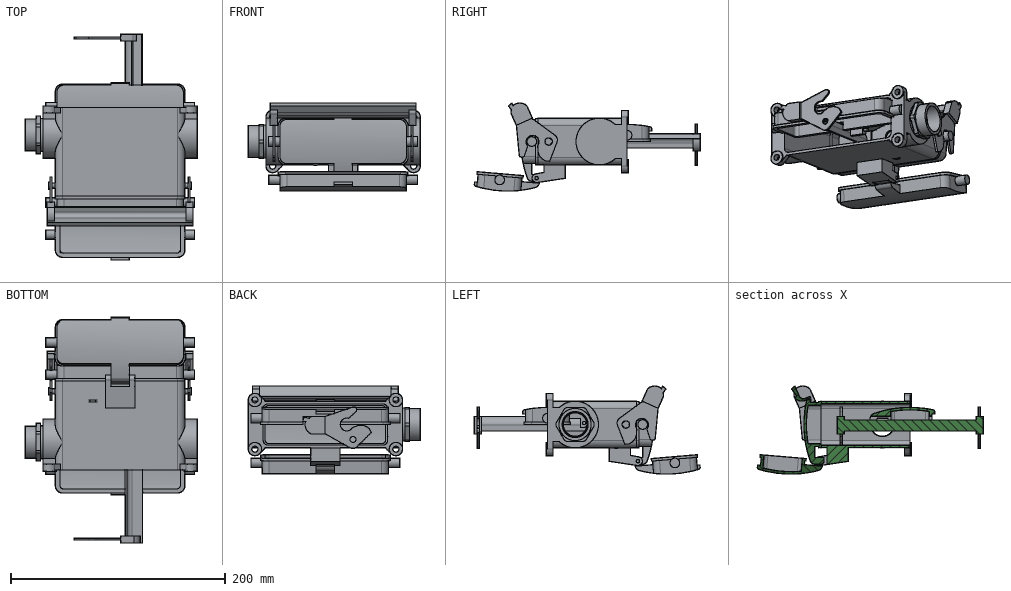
import cadquery as cq
import math


body_width = 121.0
body_height = 43.5
body_front = -57.0
body_rear = 25.8
body_corner = 7.0
wall = 2.5

port_diameter = body_height
port_half_span = 72.0
port_inner_end = body_width / 2 - body_corner
port_rib_half_height = 15.7
port_bore = 22.4

flange_front = 20.5
ear_radius = 6.25
ear_hole = 5.5
ear_pad = 1.3
ear_x = port_half_span - ear_radius
ear_z = 22.9

bracket_half_width = 13.75
bracket_rear = -31.8
bracket_step = -51.8
bracket_foot_z = -34.4
bracket_step_z = -28.7
bracket_eye_radius = 4.2
bracket_lean = 8.5

hinge_y = -58.55
hinge_z = -34.2
hinge_hole = 3.2
hinge_pin = 3.0
hinge_pin_half_span = 12.0
tongue_half_width = 8.6

pivot_y = -47.3
stud_diameter = 5.1
stud_head_diameter = 7.0
stud_head_thickness = 1.4

lever_tilt = 24.0
plate_inner = 63.4
plate_outer = 65.4
grip_inner = 61.4
lever_half_span = 68.1
lever_hole = 5.5
hook_center = (5.8, 13.9)
hook_diameter = 12.0
handle_v = (30.5, 46.8)
handle_top_w = 21.4
handle_bottom_w = 7.75
rear_lever_origin = (-25.7, 26.0, -13.9)

cover_center = 34.2
rim_width = body_width
rim_length = 43.4
rim_face = -1.5
rim_thickness = 2.5
rim_corner = 7.0
shell_width = 118.0
shell_length = 41.2
shell_corner = 6.5
cavity_width = 112.4
cavity_length = 35.6
cavity_corner = 3.5
dome_radius = 100.0
dome_depth = 14.73
floor_thickness = 2.5
cover_pin_diameter = 9.0
cover_pin_half_span = 69.5
cover_pin_depth = 4.45
arm_start = -3.0
arm_top = 4.3
arm_inner_end = cover_center - shell_length / 2 + wall
arm_end_top = 4.9
arm_end_bottom = (1.0, 9.2)
arm_end_middle = (-1.6, 7.5)
eye_end = 3.5
tab_length = 57.45
tab_top = 8.2
tab_end_depth = 10.9
open_cover_tilt = 4.8
rear_cover_hinge = (0.0, -8.4, 1.4)

gland_outer_end = -88.5
gland_tube = 30.0
gland_bore = 24.24
gland_inner_bore = 21.8
gland_inner_length = 3.0
nut_outer_face = -78.3
nut_inner_face = -74.0
nut_flats = 32.0
nut_turned_diameter = 35.4
gland_neck = 31.0

far = 200.0


def rounded_bar(width, height, corner, y_start, y_end):
    """Rectangular bar along Y with rounded long edges."""
    bar = cq.Workplane("XZ", origin=(0, y_start, 0)).rect(width, height).extrude(y_start - y_end)
    return bar.edges("|Y").fillet(corner)


def x_cylinder(diameter, x_start, x_end, y=0.0, z=0.0):
    """Round bar along X."""
    return cq.Workplane("YZ", origin=(x_start, y, z)).circle(diameter / 2).extrude(x_end - x_start)


def box_between(x_range, y_range, z_range):
    """Box given by its limits along each axis."""
    size = [limits[1] - limits[0] for limits in (x_range, y_range, z_range)]
    corner = (x_range[0], y_range[0], z_range[0])
    return cq.Workplane("XY").box(*size, centered=False).translate(corner)


def slab(plane, outline, x_start, x_end):
    """Prism of an outline drawn on a plane, between two distances along the plane's normal."""
    return outline(cq.Workplane(plane).workplane(offset=x_start)).extrude(x_end - x_start)


def make_ear(side, level):
    """Screw ear on one flange corner, blended to the body by a 45 degree web."""
    reach = ear_radius * math.sqrt(0.5)
    web_rise = ear_z + reach - body_height / 2
    web_foot_x = ear_x - reach - web_rise
    web = [
        (port_half_span, 0),
        (port_half_span, ear_z),
        (ear_x, ear_z),
        (ear_x - reach, ear_z + reach),
        (web_foot_x, body_height / 2),
        (web_foot_x, 0),
    ]
    outline = [(side * x, level * z) for x, z in web]
    plane = cq.Workplane("XZ", origin=(0, flange_front, 0))
    plate_thickness = body_rear - flange_front
    plate = plane.polyline(outline).close().extrude(-plate_thickness)
    pad = plane.center(side * ear_x, level * ear_z).circle(ear_radius).extrude(-plate_thickness - ear_pad)
    return plate.union(pad)


def make_bracket():
    """Hinge bracket under the body: a block with a forked, rounded end."""
    lean = math.radians(bracket_lean)
    normal_y = bracket_eye_radius * math.sin(lean)
    normal_z = bracket_eye_radius * math.cos(lean)
    outline = [
        (bracket_rear, -body_height / 2 + wall / 2),
        (bracket_rear, bracket_foot_z),
        (hinge_y + normal_y, hinge_z - normal_z),
        (hinge_y - normal_y, hinge_z + normal_z),
        (bracket_step, bracket_step_z),
        (bracket_step, -body_height / 2 + wall / 2),
    ]
    plane = cq.Workplane("YZ")
    bracket = plane.polyline(outline).close().extrude(bracket_half_width, both=True)
    eye = plane.center(hinge_y, hinge_z).circle(bracket_eye_radius).extrude(bracket_half_width, both=True)
    slot = box_between(
        (-tongue_half_width, tongue_half_width), (hinge_y - far, bracket_step), (-far, -body_height / 2)
    )
    hole = x_cylinder(hinge_hole, -far, far, hinge_y, hinge_z)
    return bracket.union(eye).cut(slot).cut(hole)


def make_housing():
    """Hollow hood with two side ports, flange ears, lever studs and the hinge bracket."""
    housing = rounded_bar(body_width, body_height, body_corner, body_rear, body_front)
    for side in (-1, 1):
        port = x_cylinder(port_diameter, side * port_inner_end, side * port_half_span)
        rib_x = sorted((side * port_inner_end, side * port_half_span))
        rib = box_between(rib_x, (0, flange_front), (-port_rib_half_height, port_rib_half_height))
        stud = x_cylinder(stud_diameter, side * port_inner_end, side * plate_outer, pivot_y)
        head_end = plate_outer + stud_head_thickness
        head = x_cylinder(stud_head_diameter, side * plate_outer, side * head_end, pivot_y)
        housing = housing.union(port).union(rib).union(stud).union(head)
        for level in (-1, 1):
            housing = housing.union(make_ear(side, level))
    cavity = rounded_bar(
        body_width - 2 * wall, body_height - 2 * wall, body_corner - wall, body_rear, body_front
    )
    housing = housing.cut(cavity).cut(x_cylinder(port_bore, -port_half_span, 0))
    for side in (-1, 1):
        for level in (-1, 1):
            plane = cq.Workplane("XZ", origin=(side * ear_x, flange_front, level * ear_z))
            hole = plane.circle(ear_hole / 2).extrude(-far)
            housing = housing.cut(hole)
    return housing.union(make_bracket())


def make_gland():
    """Cable gland: clamping tube, hexagon with turned corners, and a neck seated on the port."""
    tube = x_cylinder(gland_tube, gland_outer_end, nut_outer_face)
    nut_length = nut_inner_face - nut_outer_face
    nut_corners = nut_flats / math.cos(math.pi / 6)
    nut = cq.Workplane("YZ", origin=(nut_outer_face, 0, 0)).polygon(6, nut_corners).extrude(nut_length)
    nut = nut.intersect(x_cylinder(nut_turned_diameter, nut_outer_face, nut_inner_face))
    neck = x_cylinder(gland_neck, nut_inner_face, -port_half_span)
    bore = x_cylinder(gland_bore, gland_outer_end, -port_half_span - gland_inner_length)
    inner_bore = x_cylinder(gland_inner_bore, gland_outer_end, -port_half_span)
    return tube.union(nut).union(neck).cut(bore).cut(inner_bore)


def plate_outline(plane):
    """Side plate with a pivot lobe, a hook throat and a prong."""
    return (
        plane.moveTo(26.1, 5.4)
        .lineTo(3.4, -7.5)
        .threePointArc((0.0, -8.5), (-3.0, -7.6))
        .lineTo(-17.2, 6.6)
        .lineTo(-15.2, 10.0)
        .threePointArc((-9.8, 12.9), (-3.9, 12.7))
        .lineTo(0.8, 10.9)
        .lineTo(hook_center[0], hook_center[1])
        .lineTo(4.6, 19.1)
        .lineTo(-2.9, 26.0)
        .threePointArc((-3.2, 29.0), (-0.6, 30.4))
        .lineTo(26.1, 21.4)
        .close()
    )


def grip_outline(plane):
    """Thick end block of the lever with a rounded back."""
    return (
        plane.moveTo(26.1, 4.9)
        .lineTo(38.5, 4.9)
        .threePointArc((43.0, 8.5), (44.4, 16.1))
        .lineTo(41.0, 19.7)
        .threePointArc((39.5, 21.0), (37.5, 21.5))
        .lineTo(26.1, 21.4)
        .close()
    )


def handle_outline(plane):
    """Handle section: a flange curving up into a thin wall that ends in an outward lip."""
    return (
        plane.moveTo(handle_v[0], handle_bottom_w)
        .lineTo(32.3, handle_bottom_w)
        .lineTo(32.3, 12.3)
        .threePointArc((33.6, 15.5), (36.8, 16.7))
        .lineTo(handle_v[1], 16.7)
        .lineTo(45.6, 20.8)
        .lineTo(37.8, 19.0)
        .lineTo(36.4, handle_top_w)
        .threePointArc((32.3, 18.5), (handle_v[0], 13.5))
        .close()
    )


def make_lever(plane):
    """Locking lever: a handle joining two hooked side plates."""
    lever = slab(plane, handle_outline, -lever_half_span, lever_half_span)
    for side in (-1, 1):
        grip = slab(plane, grip_outline, side * grip_inner, side * lever_half_span)
        plate = slab(plane, plate_outline, side * plate_inner, side * plate_outer)
        lever = lever.union(grip).union(plate)
    throat = cq.Workplane(plane).center(*hook_center).circle(hook_diameter / 2).extrude(far, both=True)
    pivot = cq.Workplane(plane).circle(lever_hole / 2).extrude(far, both=True)
    return lever.cut(throat.cut(slab(plane, grip_outline, -far, far))).cut(pivot)


def cover_block(plane, width, length, corner, d_start, d_end):
    """Rounded block centred on the cover, between two depths."""
    base = cq.Plane(origin=plane.toWorldCoords((cover_center, d_start, 0)), xDir=plane.xDir, normal=plane.yDir)
    block = cq.Workplane(base).rect(length, width).extrude(d_end - d_start)
    return block.edges(cq.selectors.ParallelDirSelector(plane.yDir)).fillet(corner)


def dome_cylinder(plane, depth):
    """Large cylinder along X whose outer side forms the domed cover face at the given depth."""
    center = (cover_center, depth - dome_radius)
    return cq.Workplane(plane).center(*center).circle(dome_radius).extrude(lever_half_span, both=True)


def arm_outline(plane):
    """Hinge arm carrying the cover, kept clear of the hinge axis."""
    return (
        plane.moveTo(arm_start, arm_top)
        .lineTo(arm_inner_end, arm_top)
        .lineTo(arm_inner_end, dome_depth)
        .lineTo(arm_end_bottom[0], dome_depth)
        .lineTo(*arm_end_bottom)
        .threePointArc(arm_end_middle, (arm_start, arm_end_top))
        .close()
    )


def eye_outline(plane):
    """Foot of the hinge arm that surrounds the hinge axis."""
    return (
        plane.moveTo(eye_end, arm_top)
        .lineTo(eye_end, -arm_top)
        .lineTo(0, -arm_top)
        .threePointArc((arm_start * math.sqrt(0.5), -arm_top * math.sqrt(0.5)), (arm_start, 0))
        .lineTo(arm_start, arm_top)
        .close()
    )


def tab_outline(plane):
    """Finger tab on the side opposite to the hinge."""
    shell_end = cover_center + shell_length / 2
    return (
        plane.moveTo(shell_end - wall, tab_top)
        .lineTo(tab_length, tab_top)
        .lineTo(tab_length, tab_end_depth)
        .lineTo(shell_end, dome_depth)
        .lineTo(shell_end - wall, dome_depth)
        .close()
    )


def make_cover(plane, has_eye):
    """Dust cover: domed tray with a rim, hinge arm, finger tab and two locking pins.

    Only one cover can fill a hinge, so a second cover at the same hinge has no eye or hinge pins.
    """
    dome = dome_cylinder(plane, dome_depth)
    cover = cover_block(plane, shell_width, shell_length, shell_corner, rim_face, dome_depth)
    cover = cover.union(slab(plane, arm_outline, -tongue_half_width, tongue_half_width))
    cover = cover.union(slab(plane, tab_outline, -tongue_half_width, tongue_half_width))
    cover = cover.intersect(dome)
    if has_eye:
        cover = cover.union(slab(plane, eye_outline, -tongue_half_width, tongue_half_width))
        hinge_pins = cq.Workplane(plane).circle(hinge_pin / 2).extrude(hinge_pin_half_span, both=True)
        cover = cover.union(hinge_pins)
    rim = cover_block(plane, rim_width, rim_length, rim_corner, rim_face, rim_face + rim_thickness)
    pins = cq.Workplane(plane).center(cover_center, cover_pin_depth).circle(cover_pin_diameter / 2)
    cover = cover.union(rim).union(pins.extrude(cover_pin_half_span, both=True))
    cavity = cover_block(plane, cavity_width, cavity_length, cavity_corner, rim_face, dome_depth)
    cavity = cavity.intersect(dome_cylinder(plane, dome_depth - floor_thickness))
    return cover.cut(cavity)


x_axis = (1, 0, 0)
lever_angle = math.radians(lever_tilt)
cover_angle = math.radians(open_cover_tilt)
front_hinge = (0, hinge_y, hinge_z)

front_lever_plane = cq.Plane((0, pivot_y, 0), (0, -math.sin(lever_angle), math.cos(lever_angle)), x_axis)
rear_lever_plane = cq.Plane(rear_lever_origin, (1, 0, 0), (0, -1, 0))
closed_cover_plane = cq.Plane(front_hinge, (0, 0, 1), x_axis)
open_cover_plane = cq.Plane(front_hinge, (0, -math.cos(cover_angle), math.sin(cover_angle)), x_axis)
rear_cover_plane = cq.Plane(rear_cover_hinge, (0, 1, 0), x_axis)

front_lever = make_lever(front_lever_plane)
rear_lever = make_lever(rear_lever_plane)
closed_cover = make_cover(closed_cover_plane, has_eye=True)
open_cover = make_cover(open_cover_plane, has_eye=False)

handle_notch = box_between(
    [rear_lever_origin[0] + v for v in handle_v],
    (-far, far),
    [rear_lever_origin[2] + w for w in (handle_bottom_w, handle_top_w)],
)
rear_cover = make_cover(rear_cover_plane, has_eye=True).cut(handle_notch)

housing = make_housing().cut(rear_lever).cut(rear_cover)
gland = make_gland()

bodies = [housing, gland, front_lever, rear_lever, closed_cover, open_cover, rear_cover]
result = cq.Compound.makeCompound([solid for body in bodies for solid in body.solids().vals()])